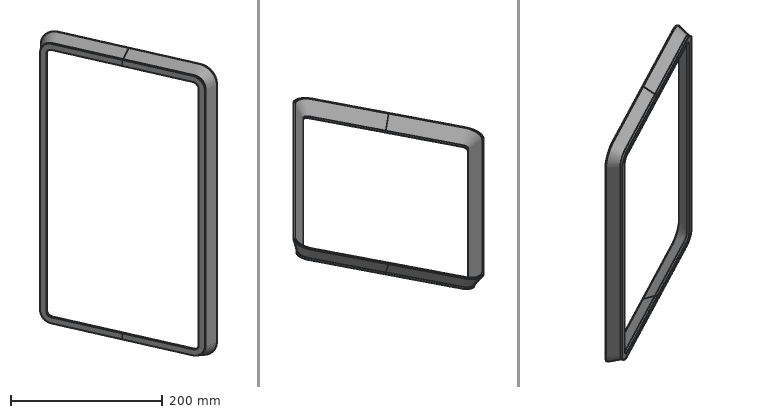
import cadquery as cq

HEIGHT = 437.5
WIDTH = 257.5
DEPTH = 21.0

TAPER = 8.5
FACE_WIDTH = 9.0
BACK_WIDTH = 2.5
LIP_DEPTH = 3.0
RIM_DEPTH = 1.5

CORNER_RADIUS = 25.5


def rounded_outline(inset, y):
    """Rounded rectangle `inset` inside the outermost edge, `y` behind the front face."""
    return (
        cq.Sketch()
        .rect(WIDTH - 2 * inset, HEIGHT - 2 * inset)
        .vertices()
        .fillet(CORNER_RADIUS - inset)
        .moved(cq.Location(cq.Vector(0, 0, -y)))
    )


def loop_block(front_inset, y_front, back_inset, y_back):
    """Rounded block running from one outline to another; tapered when the insets differ."""
    front = rounded_outline(front_inset, y_front)
    back = rounded_outline(back_inset, y_back)
    return cq.Workplane("XZ").placeSketch(front, back).loft()


def frame():
    rim_start = DEPTH - RIM_DEPTH
    opening_inset = TAPER + FACE_WIDTH

    lip = loop_block(TAPER, 0, TAPER, LIP_DEPTH)
    flare = loop_block(TAPER, LIP_DEPTH, 0, rim_start)
    rim = loop_block(0, rim_start, 0, DEPTH)

    opening = loop_block(opening_inset, 0, opening_inset, LIP_DEPTH)
    flared_opening = loop_block(opening_inset, LIP_DEPTH, BACK_WIDTH, DEPTH)
    return lip.union(flare).union(rim).cut(opening).cut(flared_opening)


def half_frame(side):
    """The half of the frame on the left (side = -1) or right (side = 1)."""
    keep = cq.Workplane("XY").box(WIDTH, DEPTH, HEIGHT).translate((side * WIDTH / 2, DEPTH / 2, 0))
    return frame().intersect(keep)


halves = [half_frame(side) for side in (-1, 1)]
result = cq.Compound.makeCompound([half.val() for half in halves])